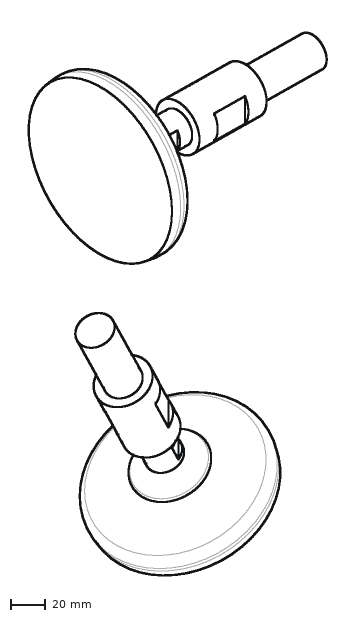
import cadquery as cq
import math

total_length = 174.0

foot_radius = 60.0
base_radius = 59.2
taper_height = 6.3
rim_top = 9.0
shoulder_radius = 7.1
cone_angle = math.radians(19.5)

cone_top_radius = 25.2
hub_radius = 24.0
hub_bottom = 28.0
hub_top = 37.2
dome_radius = 30.1

stem_radius = 12.0
stem_flat_start = 41.0
stem_flat_length = 12.5
stem_across_flats = 19.3

sleeve_radius = 18.01
sleeve_start = 63.5
sleeve_length = 55.2
sleeve_flat_length = 25.2
sleeve_across_flats = 30.3
sleeve_flat_start = sleeve_start + (sleeve_length - sleeve_flat_length) / 2

shoulder_end_radius = foot_radius - shoulder_radius * (1 - math.sin(cone_angle))
shoulder_end_height = rim_top + shoulder_radius * math.cos(cone_angle)
cone_top = shoulder_end_height + (shoulder_end_radius - cone_top_radius) * math.tan(cone_angle)


def cut_wrench_flats(body, radius, across_flats, start, length):
    """Cut a flat on the -X and +X sides of a round body along Y."""
    depth = radius - across_flats / 2
    for side in (-1, 1):
        cutter = cq.Workplane("XY").box(2 * depth, length, 2 * radius)
        center_x = side * (across_flats / 2 + depth)
        body = body.cut(cutter.translate((center_x, start + length / 2, 0)))
    return body


def make_levelling_foot():
    """Foot plate, domed hub and stem, turned as one body."""
    foot = (
        cq.Workplane("XY")
        .lineTo(base_radius, 0)
        .lineTo(foot_radius, taper_height)
        .lineTo(foot_radius, rim_top)
        .radiusArc((shoulder_end_radius, shoulder_end_height), -shoulder_radius)
        .lineTo(cone_top_radius, cone_top)
        .lineTo(hub_radius, hub_bottom)
        .radiusArc((stem_radius, hub_top), -dome_radius)
        .lineTo(stem_radius, total_length)
        .lineTo(0, total_length)
        .close()
        .revolve(360, (0, 0, 0), (0, 1, 0))
    )
    return cut_wrench_flats(foot, stem_radius, stem_across_flats, stem_flat_start, stem_flat_length)


def make_sleeve():
    """Tube that fits closely around the stem."""
    sleeve = (
        cq.Workplane("XZ", origin=(0, sleeve_start, 0))
        .circle(sleeve_radius)
        .circle(stem_radius)
        .extrude(-sleeve_length)
    )
    return cut_wrench_flats(
        sleeve, sleeve_radius, sleeve_across_flats, sleeve_flat_start, sleeve_flat_length
    )


levelling_foot = make_levelling_foot()
sleeve = make_sleeve()

result = cq.Compound.makeCompound([*levelling_foot.solids().vals(), *sleeve.solids().vals()])